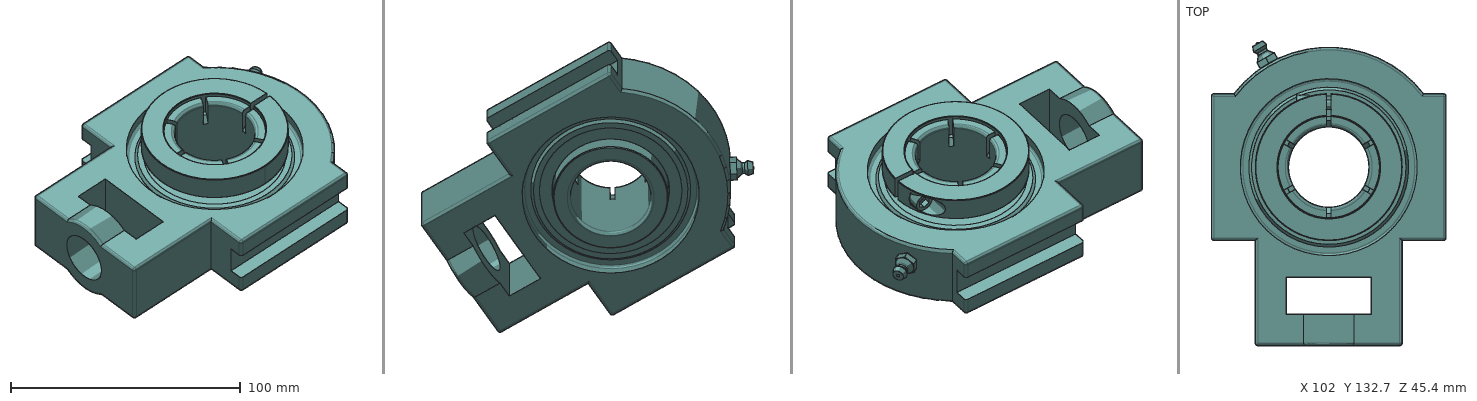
import cadquery as cq
import math


block_width = 102.0
block_length = 64.0
neck_width = 64.0
neck_end = 77.8
housing_height = 30.1
crown_radius = 52.1
edge_fillet = 1.2
guide_slot_width = 13.0
guide_slot_depth = 6.4
window_width = 36.9
window_start = 47.9
window_end = 64.0
boss_diameter = 37.2
boss_hole_diameter = 22.0

mouth_diameter = 77
mouth_fillet = 1.0
seat_half_width = 10.0
seat_edge_radius = 34.8

ring_face_radius = 33.6
ring_half_width = 11.1
seal_diameter = 62.0
seal_bore = 51.1
seal_thickness = 2.0

shaft_bore = 34.9
bore_edge_fillet = 1.5
inner_ring_diameter = 50.0
inner_ring_bottom = 17.5
inner_ring_chamfer = 0.4
sleeve_diameter = 44.0
sleeve_top = 25.3
slot_width = 2.1
slot_count = 6
slot_floor = 16.3
slot_bevel_radius = 20.2

collar_diameter = 64.0
collar_bore = 44.6
collar_bottom = 15.8
collar_top = 26.8
collar_chamfer = 0.3
screw_offset = 27.1
screw_diameter = 4.1
screw_head_diameter = 8.5
counterbore_diameter = 9.5
counterbore_floor = 8.5
screw_head_end = 13.9
socket_corner_diameter = 5.8
socket_depth = 2.7

nipple_angle = 30
nipple_height = 5.0
nipple_shank_diameter = 6.0
nipple_shank_start = 46.5
hex_base = 51.9
hex_top = 54.9
hex_across_flats = 8.8
cone_base_radius = 4.2
cone_top = 56.8
cone_top_radius = 2.8
neck_radius = 2.4
neck_start = 57.3
neck_end_distance = 58.4
head_radius = 3.3
head_widest = 59.7
nipple_tip = 62.0
tip_radius = 2.5
check_ball_diameter = 1.5
check_ball_inset = 0.3

seat_sphere_radius = math.hypot(seat_edge_radius, seat_half_width)


def upright_disc(diameter, bottom, top):
    return cq.Workplane("XY").workplane(offset=bottom).circle(diameter / 2).extrude(top - bottom)


def make_housing_outline():
    half_block = block_width / 2
    half_length = block_length / 2
    half_neck = neck_width / 2
    crown_x = math.sqrt(crown_radius**2 - half_length**2)
    return (
        cq.Workplane("XY")
        .workplane(offset=-housing_height / 2)
        .moveTo(-half_neck, -neck_end)
        .lineTo(half_neck, -neck_end)
        .lineTo(half_neck, -half_length)
        .lineTo(half_block, -half_length)
        .lineTo(half_block, half_length)
        .lineTo(crown_x, half_length)
        .threePointArc((0, crown_radius), (-crown_x, half_length))
        .lineTo(-half_block, half_length)
        .lineTo(-half_block, -half_length)
        .lineTo(-half_neck, -half_length)
        .close()
        .extrude(housing_height)
    )


def is_rim_edge(edge):
    """True for the outer rim of the housing, false where the boss meets the flat faces."""
    box = edge.BoundingBox()
    within_boss = max(abs(box.xmin), abs(box.xmax)) < boss_diameter / 2
    behind_front = box.ymin > -neck_end + edge_fillet
    at_boss = within_boss and box.ymax < -block_length / 2
    joins_front = box.ylen > edge_fillet
    return not (at_boss and (behind_front or joins_front))


def make_housing(nipple):
    housing = make_housing_outline()
    corner_places = (
        (block_width / 2, block_length / 2),
        (block_width / 2, -block_length / 2),
        (neck_width / 2, -neck_end),
    )
    for x, y in corner_places:
        for corner_x in (-x, x):
            housing = housing.edges(cq.NearestToPointSelector((corner_x, y, 0))).fillet(edge_fillet)

    boss = (
        cq.Workplane("XZ")
        .workplane(offset=window_end)
        .circle(boss_diameter / 2)
        .extrude(neck_end - window_end)
    )
    housing = housing.union(boss)
    rim = housing.faces("|Z").edges().filter(is_rim_edge)
    boss_front = housing.faces("<Y").edges("%CIRCLE")
    housing = rim.add(boss_front).fillet(edge_fillet)

    for slot_x in (-block_width / 2, block_width / 2):
        guide_slot = cq.Workplane("XY").box(2 * guide_slot_depth, 2 * block_length, guide_slot_width)
        housing = housing.cut(guide_slot.translate((slot_x, 0, 0)))

    window_length = window_end - window_start
    window = cq.Workplane("XY").box(window_width, window_length, 2 * boss_diameter)
    housing = housing.cut(window.translate((0, -(window_start + window_end) / 2, 0)))
    boss_hole = (
        cq.Workplane("XZ")
        .workplane(offset=window_end)
        .circle(boss_hole_diameter / 2)
        .extrude(neck_end - window_end)
    )
    housing = housing.cut(boss_hole)

    housing = housing.cut(make_bearing_space())
    return housing.cut(nipple)


def make_bearing_space():
    """Spherical seat through the housing with a wider mouth, rounded at its floor, on each side."""
    space = upright_disc(2 * seat_edge_radius, -seat_half_width, seat_half_width)
    space = space.union(cq.Workplane("XY").sphere(seat_sphere_radius))
    mouth = upright_disc(mouth_diameter, seat_half_width, housing_height).faces("<Z").edges().fillet(mouth_fillet)
    return space.union(mouth).union(mouth.mirror("XY"))


def make_outer_ring():
    """Ring with a spherical outside, bevelled towards both end faces."""
    bore_radius = seal_diameter / 2
    return (
        cq.Workplane("XZ")
        .moveTo(bore_radius, -ring_half_width)
        .lineTo(ring_face_radius, -ring_half_width)
        .lineTo(seat_edge_radius, -seat_half_width)
        .threePointArc((seat_sphere_radius, 0), (seat_edge_radius, seat_half_width))
        .lineTo(ring_face_radius, ring_half_width)
        .lineTo(bore_radius, ring_half_width)
        .close()
        .revolve(360, (0, 0, 0), (0, 1, 0))
    )


def make_seal(bottom):
    top = bottom + seal_thickness
    return upright_disc(seal_diameter, bottom, top).cut(upright_disc(seal_bore, bottom, top))


def make_inner_ring():
    race = upright_disc(inner_ring_diameter, -inner_ring_bottom, collar_bottom)
    race = race.faces("<Z").edges().chamfer(inner_ring_chamfer)
    ring = race.union(upright_disc(sleeve_diameter, 0, sleeve_top))
    ring = ring.cut(upright_disc(shaft_bore, -inner_ring_bottom, sleeve_top))
    bore_edges = cq.selectors.RadiusNthSelector(0)
    for end_face in ("<Z", ">Z"):
        ring = ring.faces(end_face).edges(bore_edges).fillet(bore_edge_fillet)
    slot = (
        cq.Workplane("XZ")
        .workplane(offset=-slot_width / 2)
        .moveTo(0, sleeve_top)
        .lineTo(sleeve_diameter, sleeve_top)
        .lineTo(sleeve_diameter, slot_floor)
        .lineTo(slot_bevel_radius, slot_floor)
        .lineTo(0, slot_floor - slot_bevel_radius)
        .close()
        .extrude(slot_width)
    )
    for number in range(slot_count):
        angle = 90 + number * 360 / slot_count
        ring = ring.cut(slot.rotate((0, 0, 0), (0, 0, 1), angle))
    return ring


def screw_cylinder(diameter, start_x, end_x):
    """Cylinder along the axis of the clamping screw."""
    middle_height = (collar_bottom + collar_top) / 2
    return (
        cq.Workplane("YZ")
        .workplane(offset=start_x)
        .center(screw_offset, middle_height)
        .circle(diameter / 2)
        .extrude(end_x - start_x)
    )


def make_screw():
    head = screw_cylinder(screw_head_diameter, -screw_head_end, -counterbore_floor)
    shank = screw_cylinder(screw_diameter, -counterbore_floor, counterbore_floor)
    socket = (
        head.faces("<X")
        .workplane(centerOption="CenterOfBoundBox")
        .transformed(rotate=(0, 0, 90))
        .polygon(6, socket_corner_diameter)
        .extrude(-socket_depth, combine=False)
    )
    return head.union(shank).cut(socket)


def make_collar(screw):
    collar = upright_disc(collar_diameter, collar_bottom, collar_top)
    collar = collar.cut(upright_disc(collar_bore, collar_bottom, collar_top))
    collar = collar.edges("%CIRCLE").chamfer(collar_chamfer)
    split = (
        cq.Workplane("XY")
        .workplane(offset=collar_bottom)
        .center(0, collar_diameter / 2)
        .rect(slot_width, collar_diameter)
        .extrude(collar_top - collar_bottom)
    )
    counterbore = screw_cylinder(counterbore_diameter, -collar_diameter / 2, -counterbore_floor)
    return collar.cut(split).cut(counterbore).cut(screw)


def make_nipple():
    """Nipple built along Z, then laid down pointing outwards in the housing."""
    shank = upright_disc(nipple_shank_diameter, nipple_shank_start, hex_base)
    hexagon = (
        cq.Workplane("XY")
        .workplane(offset=hex_base)
        .polygon(6, hex_across_flats / math.cos(math.pi / 6))
        .extrude(hex_top - hex_base)
        .rotate((0, 0, 0), (0, 0, 1), 90)
    )
    fitting = (
        cq.Workplane("XZ")
        .moveTo(0, hex_top)
        .lineTo(cone_base_radius, hex_top)
        .lineTo(cone_top_radius, cone_top)
        .lineTo(neck_radius, neck_start)
        .lineTo(neck_radius, neck_end_distance)
        .lineTo(head_radius, head_widest)
        .lineTo(tip_radius, nipple_tip)
        .lineTo(0, nipple_tip)
        .close()
        .revolve(360, (0, 0, 0), (0, 1, 0))
    )
    check_ball = cq.Workplane("XY").sphere(check_ball_diameter / 2)
    check_ball = check_ball.translate((0, 0, nipple_tip - check_ball_inset))
    nipple = shank.union(hexagon).union(fitting).union(check_ball)
    nipple = nipple.rotate((0, 0, 0), (1, 0, 0), -90).rotate((0, 0, 0), (0, 0, 1), nipple_angle)
    return nipple.translate((0, 0, nipple_height))


screw = make_screw()
nipple = make_nipple()
housing = make_housing(nipple)
outer_ring = make_outer_ring()
seals = [make_seal(bottom) for bottom in (-ring_half_width, ring_half_width - seal_thickness)]
inner_ring = make_inner_ring()
collar = make_collar(screw)

result = cq.Compound.makeCompound(
    [
        housing.val(),
        outer_ring.val(),
        *[seal.val() for seal in seals],
        inner_ring.val(),
        collar.val(),
        screw.val(),
        nipple.val(),
    ]
)